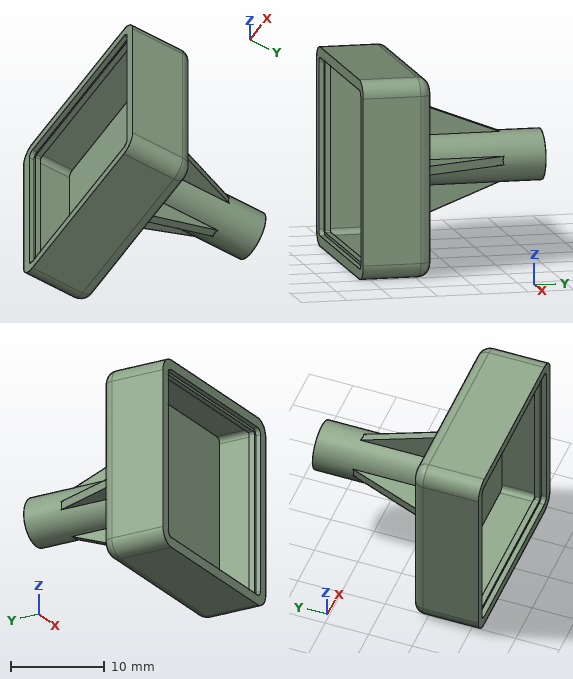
import cadquery as cq
import math

cup_side = 21.84
cup_depth = 7.62
cup_corner_radius = 1.78
back_edge_radius = 1.27
wall = 1.143
floor_thickness = 2.54

cavity_side = cup_side - 2 * wall
cavity_corner_radius = 0.635
mouth_depth = 0.58
lip_depth = 0.635
lip_height = 0.33
lip_corner_radius = 0.18

total_length = 22.1
post_diameter = 5.59
post_radius = post_diameter / 2
post_root_radius = 1.27

rib_thickness = 0.96
rib_reach = 6.57
bare_post_length = 4.74
rib_tip_y = total_length - bare_post_length
rib_angles = (0, 90, 180, 270)


def square_block(side, corner_radius, front_y, back_y):
    """Square prism along Y with rounded corners."""
    return (
        cq.Workplane("XZ", origin=(0, front_y, 0))
        .rect(side, side)
        .extrude(front_y - back_y)
        .edges("|Y")
        .fillet(corner_radius)
    )


def make_cup_body():
    body = square_block(cup_side, cup_corner_radius, 0, cup_depth)
    return body.faces(">Y").edges().fillet(back_edge_radius)


def make_cavity():
    lip_back = mouth_depth + lip_depth
    lip_side = cavity_side - 2 * lip_height
    mouth = square_block(cavity_side, cavity_corner_radius, 0, mouth_depth)
    lip_opening = square_block(lip_side, lip_corner_radius, mouth_depth, lip_back)
    pocket = square_block(cavity_side, cavity_corner_radius, lip_back, cup_depth - floor_thickness)
    return mouth.union(lip_opening).union(pocket)


def make_post():
    """Post turned about Y, with a concave flare where it meets the cup."""
    flare_radius = post_radius + post_root_radius
    flare_top = cup_depth + post_root_radius
    flare_bow = post_root_radius * (1 - math.cos(math.radians(45)))
    sunk_y = cup_depth - floor_thickness / 2
    return (
        cq.Workplane("XY")
        .moveTo(0, sunk_y)
        .lineTo(flare_radius, sunk_y)
        .lineTo(flare_radius, cup_depth)
        .threePointArc((post_radius + flare_bow, cup_depth + flare_bow), (post_radius, flare_top))
        .lineTo(post_radius, total_length)
        .lineTo(0, total_length)
        .close()
        .revolve(360, (0, 0, 0), (0, 1, 0))
    )


def make_rib(angle):
    """Triangular rib from inside the post outward, turned about Y."""
    slope = (rib_tip_y - cup_depth) / (rib_reach - post_radius)
    inner_x = post_radius - rib_thickness / 2
    inner_y = rib_tip_y + slope * (post_radius - inner_x)
    return (
        cq.Workplane("XY")
        .polyline([(inner_x, cup_depth), (rib_reach, cup_depth), (inner_x, inner_y)])
        .close()
        .extrude(rib_thickness / 2, both=True)
        .rotate((0, 0, 0), (0, 1, 0), angle)
    )


result = make_cup_body().cut(make_cavity()).union(make_post())
for rib_angle in rib_angles:
    result = result.union(make_rib(rib_angle))